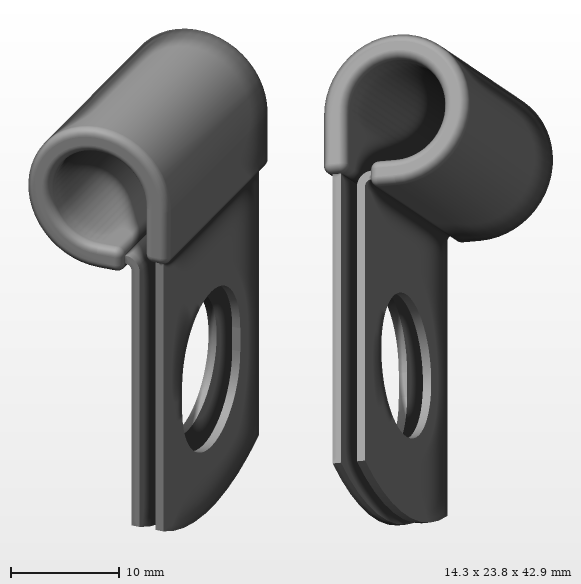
import cadquery as cq
import math

total_height = 42.85
loop_radius = 7.15
cushion_thickness = 2.4
cushion_width = 23.82
strap_thickness = 0.8
edge_round = 0.75
strap_width = cushion_width - 2 * edge_round
long_leg = 5.55
short_leg = 2.53
bend_outer_radius = 1.45
hole_diameter = 13.55
slot_stretch = 2.35
hole_height = 14.25
tab_rise = 2.55

bottom_z = loop_radius - total_height
mid_radius = loop_radius - cushion_thickness / 2
strap_outer_radius = mid_radius + strap_thickness / 2
strap_inner_radius = mid_radius - strap_thickness / 2


def open_loop(outer, inner):
    """Outline of a three-quarter loop with a straight leg at each end."""
    diagonal = math.sqrt(0.5)
    return (
        cq.Workplane("XZ")
        .moveTo(short_leg, -inner)
        .lineTo(0, -inner)
        .threePointArc((-inner * diagonal, inner * diagonal), (inner, 0))
        .lineTo(inner, -long_leg)
        .lineTo(outer, -long_leg)
        .lineTo(outer, 0)
        .threePointArc((-outer * diagonal, outer * diagonal), (0, -outer))
        .lineTo(short_leg, -outer)
        .close()
    )


def make_cushion():
    """Cushion around the strap, rounded on the side outlines and both leg ends."""
    body = open_loop(loop_radius, loop_radius - cushion_thickness).extrude(cushion_width / 2, both=True)
    long_end = cq.NearestToPointSelector((mid_radius, 0, -long_leg))
    short_end = cq.NearestToPointSelector((short_leg, 0, -mid_radius))
    rounded_edges = (
        body.faces("<Y or >Y").edges()
        .add(body.faces(long_end).edges("|Y"))
        .add(body.faces(short_end).edges("|Y"))
    )
    return body.newObject(rounded_edges.vals()).fillet(edge_round)


def tab_outline():
    """Side silhouette of the tabs: straight sides, curved lower end and a round hole."""
    half_width = strap_width / 2
    return (
        cq.Workplane("YZ")
        .moveTo(-half_width, 0)
        .lineTo(-half_width, bottom_z + tab_rise)
        .threePointArc((0, bottom_z), (half_width, bottom_z + tab_rise))
        .lineTo(half_width, 0)
        .close()
        .moveTo(0, bottom_z + hole_height)
        .circle(hole_diameter / 2)
        .extrude(loop_radius)
    )


def straight_tab_slot():
    """Vertical slot through the straight tab only, centred on the round hole."""
    return (
        cq.Workplane("YZ", origin=(strap_inner_radius, 0, bottom_z + hole_height))
        .slot2D(hole_diameter + slot_stretch, hole_diameter, 90)
        .extrude(strap_thickness)
    )


def make_tabs():
    """Two flat strap tabs and the bend that leads into the short leg."""
    bend_inner_radius = bend_outer_radius - strap_thickness
    bend_z = -strap_inner_radius - bend_outer_radius
    tab_outer_x = short_leg + bend_outer_radius
    tab_inner_x = short_leg + bend_inner_radius
    diagonal = math.sqrt(0.5)
    bent_tab = (
        cq.Workplane("XZ")
        .moveTo(short_leg - edge_round, -strap_inner_radius)
        .lineTo(short_leg, -strap_inner_radius)
        .threePointArc(
            (short_leg + bend_outer_radius * diagonal, bend_z + bend_outer_radius * diagonal),
            (tab_outer_x, bend_z),
        )
        .lineTo(tab_outer_x, bottom_z)
        .lineTo(tab_inner_x, bottom_z)
        .lineTo(tab_inner_x, bend_z)
        .threePointArc(
            (short_leg + bend_inner_radius * diagonal, bend_z + bend_inner_radius * diagonal),
            (short_leg, -strap_outer_radius),
        )
        .lineTo(short_leg - edge_round, -strap_outer_radius)
        .close()
        .extrude(strap_width / 2, both=True)
    )
    straight_tab = (
        cq.Workplane("XZ")
        .moveTo(strap_inner_radius, edge_round - long_leg)
        .lineTo(strap_outer_radius, edge_round - long_leg)
        .lineTo(strap_outer_radius, bottom_z)
        .lineTo(strap_inner_radius, bottom_z)
        .close()
        .extrude(strap_width / 2, both=True)
    )
    trimmed_tabs = bent_tab.union(straight_tab).intersect(tab_outline())
    return trimmed_tabs.cut(straight_tab_slot())


result = make_cushion().union(make_tabs())